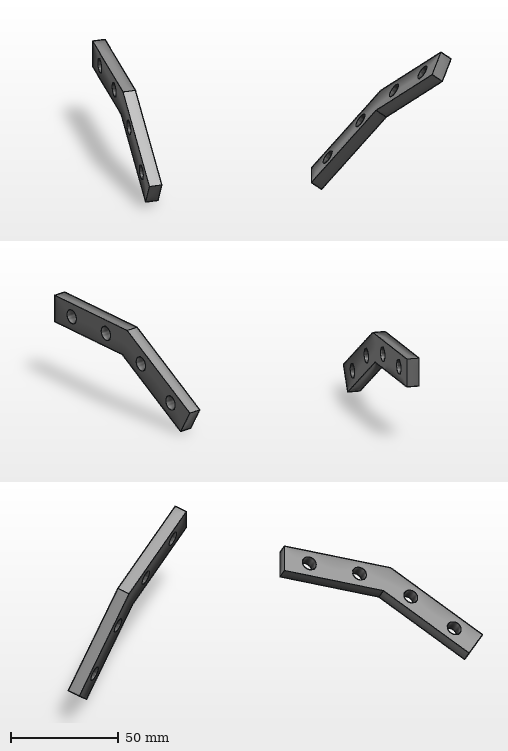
import cadquery as cq
import math

overall_length = 98.9
thickness = 6.0
arm_width = 13.45
bend_angle = 30.0
hole_diameter = 6.8
end_to_first_hole = 12.5
hole_spacing = 25.0

bend = math.radians(bend_angle)
arm_length = overall_length / (1 + math.cos(bend))
inner_setback = arm_width * math.tan(bend / 2)


def along_level_arm(distance, depth):
    """Point at a distance from the bend and a depth below the outer edge."""
    return (-distance, -depth)


def along_sloped_arm(distance, depth):
    """Same as the level arm, measured along the arm that slopes down."""
    x = distance * math.cos(bend) - depth * math.sin(bend)
    z = -distance * math.sin(bend) - depth * math.cos(bend)
    return (x, z)


outline = [
    along_level_arm(arm_length, 0),
    (0, 0),
    along_sloped_arm(arm_length, 0),
    along_sloped_arm(arm_length, arm_width),
    along_level_arm(inner_setback, arm_width),
    along_level_arm(arm_length, arm_width),
]
bar = cq.Workplane("XZ").polyline(outline).close().extrude(thickness)

hole_centres = []
for arm_point in (along_level_arm, along_sloped_arm):
    for end_distance in (end_to_first_hole, end_to_first_hole + hole_spacing):
        hole_centres.append(arm_point(arm_length - end_distance, arm_width / 2))

holes = (
    cq.Workplane("XZ")
    .pushPoints(hole_centres)
    .circle(hole_diameter / 2)
    .extrude(thickness)
)

result = bar.cut(holes)